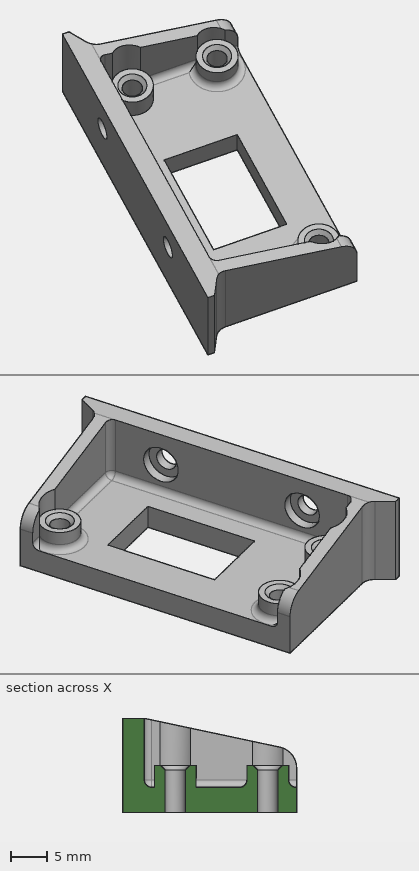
import cadquery as cq
import math

plate_width = 50.0
depth = 24.0
height = 13.0

plate_thickness = 3.0
plate_edge_thickness = 1.0
plate_wall_fillet = 2.0
plate_hole_diameter = 3.1
counterbore_diameter = 5.5
counterbore_depth = 1.5
plate_hole_spacing = 22.5
plate_hole_height = 8.0

body_width = 43.0
wall_thickness = 2.0
floor_thickness = 3.5
pocket_fillet = 1.0
wall_slope = 12.0
wall_corner_radius = 3.0

window_width = 17.0
window_depth = 11.0
window_center_x = 2.5
window_center_y = 12.5

post_radius = 2.9
post_top = 6.5
post_flare = 1.0
post_hole_diameter = 2.8
post_mouth_diameter = 4.0
post_chamfer = (post_mouth_diameter - post_hole_diameter) / 2
post_x = 17.5
back_post_y = 20.0
front_post_y = 7.25
back_posts = [(-post_x, back_post_y), (post_x, back_post_y)]
front_posts = [(-post_x, front_post_y)]

inner_width = body_width - 2 * wall_thickness


def make_block():
    """Full-height plan outline with the walls sloped down toward the back."""
    half_plate = plate_width / 2
    half_body = body_width / 2
    block = (
        cq.Workplane("XY")
        .polyline([
            (-half_plate, 0),
            (half_plate, 0),
            (half_plate, plate_edge_thickness),
            (half_body, plate_thickness),
            (half_body, depth),
            (-half_body, depth),
            (-half_body, plate_thickness),
            (-half_plate, plate_edge_thickness),
        ])
        .close()
        .extrude(height)
    )
    for side in (-1, 1):
        corner = cq.selectors.NearestToPointSelector((side * half_body, plate_thickness, height / 2))
        block = block.edges(corner).fillet(plate_wall_fillet)

    back_height = height - (depth - plate_thickness) * math.tan(math.radians(wall_slope))
    side_profile = (
        cq.Workplane("YZ")
        .polyline([(0, 0), (depth, 0), (depth, back_height), (plate_thickness, height), (0, height)])
        .close()
        .extrude(plate_width / 2, both=True)
        .edges(cq.selectors.NearestToPointSelector((0, depth, back_height)))
        .fillet(wall_corner_radius)
    )
    return block.intersect(side_profile)


def make_pocket():
    """Space between the walls, open at the back, rounded along the floor and in its front corners."""
    pocket = cq.Workplane("XY").box(
        inner_width, 2 * depth, height, centered=(True, False, False)
    ).translate((0, plate_thickness, floor_thickness))
    front_corners = pocket.faces("<Y").edges("|Z")
    floor_edges = pocket.faces("<Z").edges("|Y or <Y")
    return front_corners.add(floor_edges).fillet(pocket_fillet)


def make_flared_post():
    """Post standing on the floor with a concave flare around its foot."""
    flare_radius = post_radius + post_flare
    flare_top = floor_thickness + post_flare
    arc_offset = post_flare * (1 - math.sqrt(0.5))
    return (
        cq.Workplane("XZ")
        .moveTo(0, 0)
        .lineTo(flare_radius, 0)
        .lineTo(flare_radius, floor_thickness)
        .threePointArc(
            (post_radius + arc_offset, floor_thickness + arc_offset),
            (post_radius, flare_top),
        )
        .lineTo(post_radius, post_top)
        .lineTo(0, post_top)
        .close()
        .revolve(360, (0, 0), (0, 1))
    )


def make_post_bore():
    """Through hole with a chamfered mouth at the post top."""
    hole = cq.Workplane("XY").circle(post_hole_diameter / 2).extrude(post_top)
    mouth = (
        cq.Workplane("XY", origin=(0, 0, post_top - post_chamfer))
        .circle(post_hole_diameter / 2)
        .workplane(offset=post_chamfer)
        .circle(post_mouth_diameter / 2)
        .loft()
    )
    return hole.union(mouth)


result = make_block().cut(make_pocket())

for x, y in back_posts:
    result = result.union(make_flared_post().translate((x, y, 0)))

straight_post = cq.Workplane("XY").circle(post_radius).extrude(post_top)
for x, y in front_posts:
    result = result.union(straight_post.translate((x, y, 0)))

wall_relief = cq.Workplane("XY", origin=(0, 0, post_top)).circle(post_radius).extrude(height)
for x, y in back_posts + front_posts:
    result = result.cut(wall_relief.translate((x, y, 0)))
    result = result.cut(make_post_bore().translate((x, y, 0)))

window = cq.Workplane("XY").rect(window_width, window_depth).extrude(height)
result = result.cut(window.translate((window_center_x, window_center_y, 0)))

plate_holes = (
    cq.Workplane("XZ")
    .pushPoints([(side * plate_hole_spacing / 2, plate_hole_height) for side in (-1, 1)])
)
result = result.cut(plate_holes.circle(plate_hole_diameter / 2).extrude(-plate_thickness))
counterbores = plate_holes.circle(counterbore_diameter / 2).extrude(-counterbore_depth)
result = result.cut(counterbores.translate((0, plate_thickness - counterbore_depth, 0)))